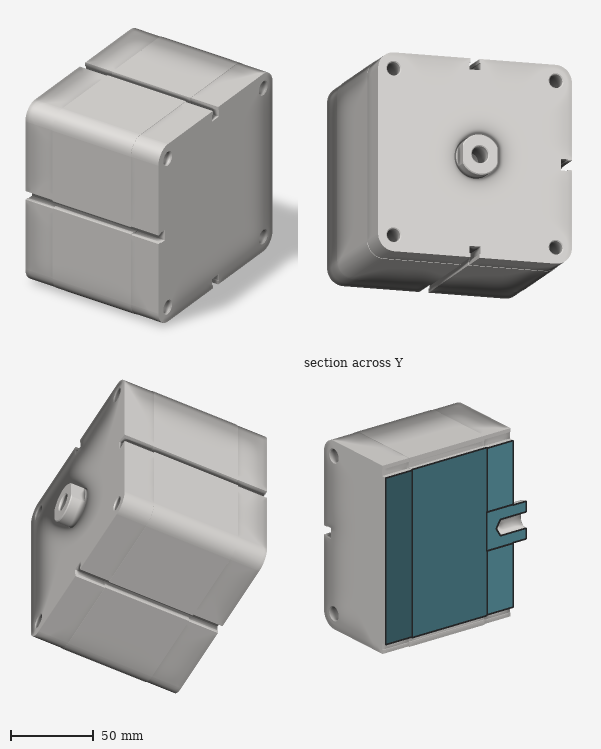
import cadquery as cq
import math


WIDTH = 124.0
CORNER_RADIUS = 10.5
CAP_INSET = 0.2
CAP_LENGTH = 20.0
TUBE_LENGTH = 57.0
ROD_STICKOUT = 10.0
TUBE_START = CAP_LENGTH
REAR_CAP_START = TUBE_START + TUBE_LENGTH

BOLT_EDGE_DISTANCE = 10.3
BOLT_OFFSET = WIDTH / 2 - BOLT_EDGE_DISTANCE
BOLT_HOLE_DIAMETER = 8.3
EDGE_CHAMFER = 0.6

SLOT_MOUTH_WIDTH = 5.0
SLOT_INNER_WIDTH = 6.2
SLOT_LIP = 3.2
SLOT_DEPTH = 6.7
CAP_SLOT_CLEARANCE = 0.5
SLOT_ANGLES = (0, 90, 180)

ROD_DIAMETER = 25.0
ROD_FLATS_WIDTH = 21.8
ROD_FLATS_LENGTH = 8.8
ROD_BORE_DIAMETER = 10.4
ROD_BORE_DEPTH = 19.8
DRILL_POINT_ANGLE = 120.0


def block(start, length, inset):
    """Square bar with round corners, extruded along +X."""
    side = WIDTH - 2 * inset
    bar = cq.Workplane("YZ", origin=(start, 0, 0)).rect(side, side).extrude(length)
    return bar.edges("|X").fillet(CORNER_RADIUS - inset)


def cut_slots(body, start, length, clearance):
    """Cut a T-slot along X into the top, the -Y side and the bottom."""
    half_mouth = SLOT_MOUTH_WIDTH / 2 + clearance
    half_inner = SLOT_INNER_WIDTH / 2 + clearance
    face = WIDTH / 2
    shoulder = face - SLOT_LIP + clearance
    floor = face - SLOT_DEPTH - clearance
    slot = (
        cq.Workplane("YZ", origin=(start, 0, 0))
        .moveTo(-half_mouth, face)
        .lineTo(-half_mouth, shoulder)
        .lineTo(-half_inner, shoulder)
        .lineTo(-half_inner, floor)
        .lineTo(half_inner, floor)
        .lineTo(half_inner, shoulder)
        .lineTo(half_mouth, shoulder)
        .lineTo(half_mouth, face)
        .close()
        .extrude(length)
    )
    for angle in SLOT_ANGLES:
        body = body.cut(slot.rotate((0, 0, 0), (1, 0, 0), angle))
    return body


def bolt_holes(start, length):
    """Four cylinders that cut the corner holes."""
    return (
        cq.Workplane("YZ", origin=(start, 0, 0))
        .rect(2 * BOLT_OFFSET, 2 * BOLT_OFFSET, forConstruction=True)
        .vertices()
        .circle(BOLT_HOLE_DIAMETER / 2)
        .extrude(length)
    )


def make_cap(start, outer_face):
    """End cap with slots and bolt holes chamfered at the outer face."""
    cap = block(start, CAP_LENGTH, CAP_INSET).cut(bolt_holes(start, CAP_LENGTH))
    hole_edges = cap.faces(outer_face).edges(cq.selectors.RadiusNthSelector(0))
    cap = hole_edges.chamfer(EDGE_CHAMFER)
    return cut_slots(cap, start, CAP_LENGTH, CAP_SLOT_CLEARANCE)


def make_front_cap():
    """Front cap with a chamfered bore for the rod."""
    cap = make_cap(0, "<X")
    bore = cq.Workplane("YZ").circle(ROD_DIAMETER / 2).extrude(CAP_LENGTH)
    mouth_radius = ROD_DIAMETER / 2 + EDGE_CHAMFER
    mouth = cq.Workplane("YZ").circle(mouth_radius).extrude(EDGE_CHAMFER, taper=45)
    return cap.cut(bore).cut(mouth)


def make_tube():
    """Profile tube between the caps."""
    tube = block(TUBE_START, TUBE_LENGTH, 0)
    tube = tube.cut(bolt_holes(TUBE_START, TUBE_LENGTH))
    return cut_slots(tube, TUBE_START, TUBE_LENGTH, 0)


def make_rod():
    """Rod through the front cap, with wrench flats and a blind drilled bore."""
    tip = -ROD_STICKOUT
    rod_plane = cq.Workplane("YZ", origin=(tip, 0, 0))
    rod = rod_plane.circle(ROD_DIAMETER / 2).extrude(ROD_STICKOUT + CAP_LENGTH)
    rod = rod.faces("<X").edges().chamfer(EDGE_CHAMFER)

    flat_zone = rod_plane.rect(ROD_DIAMETER, ROD_DIAMETER).extrude(ROD_FLATS_LENGTH)
    between_flats = rod_plane.rect(ROD_FLATS_WIDTH, ROD_DIAMETER).extrude(ROD_FLATS_LENGTH)
    rod = rod.cut(flat_zone.cut(between_flats))

    bore_radius = ROD_BORE_DIAMETER / 2
    mouth_radius = bore_radius + EDGE_CHAMFER
    point_length = bore_radius / math.tan(math.radians(DRILL_POINT_ANGLE / 2))
    bore = (
        cq.Workplane("XY")
        .moveTo(tip, 0)
        .lineTo(tip, mouth_radius)
        .lineTo(tip + EDGE_CHAMFER, bore_radius)
        .lineTo(tip + ROD_BORE_DEPTH, bore_radius)
        .lineTo(tip + ROD_BORE_DEPTH + point_length, 0)
        .close()
        .revolve(360, (0, 0, 0), (1, 0, 0))
    )
    return rod.cut(bore)


front_cap = make_front_cap()
tube = make_tube()
rear_cap = make_cap(REAR_CAP_START, ">X")
rod = make_rod()

result = cq.Compound.makeCompound([front_cap.val(), tube.val(), rear_cap.val(), rod.val()])